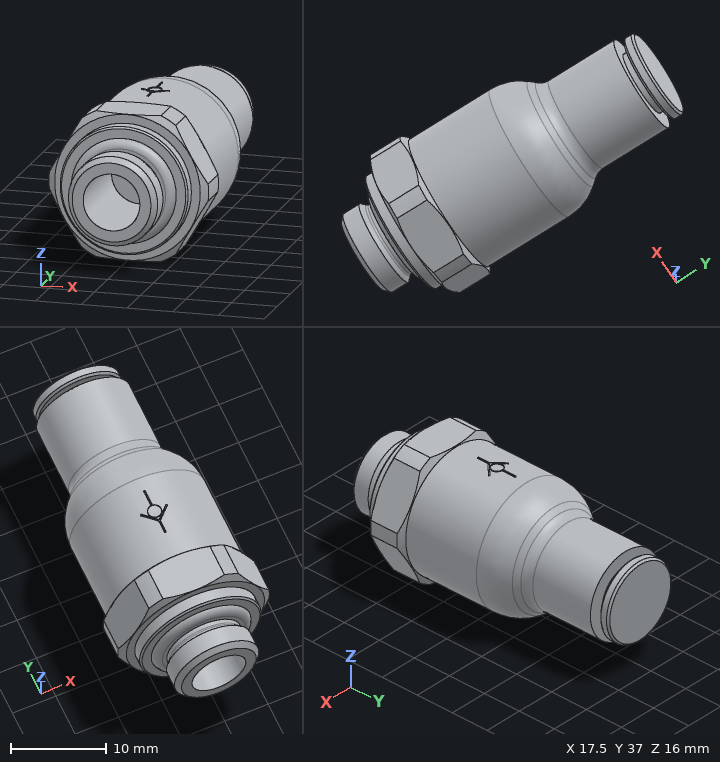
import cadquery as cq
import math

overall_length = 37.01

spigot_radius = 4.88
spigot_chamfer = 0.57
spigot_shoulder_y = 2.6
bore_radius = 3.1
neck_radius = 4.28
neck_fillet_radius = 0.35

seal_radius = 5.75
seal_face_radius = 4.8
seal_thickness = 0.75

collar_radius = 7.0
collar_start_y = 4.6
collar_chamfer = 0.2

hex_across_flats = 16.0
hex_corner_radius = 8.75
hex_start_y = 6.05
hex_end_y = 10.75
hex_bevel_angle = math.radians(30)
hex_face_radius = 7.97

body_radius = 7.9
dome_start_y = 20.82
dome_radius = 6.0
throat_radius = 2.0
shoulder_angle = math.radians(40)
sleeve_radius = 5.45
sleeve_end_y = 34.87

collet_neck_radius = 3.65
collet_radius = 5.0
collet_flange_length = 1.3
collet_chamfer = 0.25

symbol_y = 16.55
symbol_depth = 0.1
symbol_ball_radius = 0.75
symbol_stroke_width = 0.15
symbol_upper_reach = 2.65
symbol_lower_reach = 2.75
seat_width = 3.0
seat_tip_offset = 1.25


def arc_middle(centre, radius, angle):
    """Point on a circle at the given angle."""
    return (centre[0] + radius * math.cos(angle), centre[1] + radius * math.sin(angle))


def revolve_profile(profile):
    """Turn a closed (radius, station) outline about the Y axis."""
    return profile.close().revolve(360, (0, 0, 0), (0, 1, 0))


def make_spigot():
    """Chamfered spigot, its undercut neck, the seal and the collar."""
    cone_angle = math.radians(45)
    fillet_setback = neck_fillet_radius * math.sin(cone_angle)
    cone_end_radius = neck_radius + neck_fillet_radius * (1 - math.cos(cone_angle))
    cone_end_y = spigot_shoulder_y + spigot_radius - cone_end_radius
    neck_start_y = cone_end_y + fillet_setback
    fillet_centre = (neck_radius + neck_fillet_radius, neck_start_y)
    fillet_middle = arc_middle(fillet_centre, neck_fillet_radius, math.pi + cone_angle / 2)

    seal_start_y = collar_start_y - seal_thickness
    rim_width = seal_radius - seal_face_radius

    rim_arc_radius = (rim_width**2 + seal_thickness**2) / (2 * seal_thickness)
    rim_sweep = math.asin(rim_width / rim_arc_radius)
    rim_centre = (seal_face_radius, seal_start_y + rim_arc_radius)
    rim_middle = arc_middle(rim_centre, rim_arc_radius, rim_sweep / 2 - math.pi / 2)

    profile = (
        cq.Workplane("XY")
        .moveTo(0, 0)
        .lineTo(spigot_radius - spigot_chamfer, 0)
        .lineTo(spigot_radius, spigot_chamfer)
        .lineTo(spigot_radius, spigot_shoulder_y)
        .lineTo(cone_end_radius, cone_end_y)
        .threePointArc(fillet_middle, (neck_radius, neck_start_y))
        .lineTo(neck_radius, seal_start_y)
        .lineTo(seal_face_radius, seal_start_y)
        .threePointArc(rim_middle, (seal_radius, collar_start_y))
        .lineTo(collar_radius - collar_chamfer, collar_start_y)
        .lineTo(collar_radius, collar_start_y + collar_chamfer)
        .lineTo(collar_radius, hex_start_y)
        .lineTo(0, hex_start_y)
    )
    return revolve_profile(profile)


def make_hexagon():
    """Hexagon with flats at +Z and -Z, rounded corners and bevelled ends."""
    prism = (
        cq.Workplane("ZX", origin=(0, hex_start_y, 0))
        .polygon(6, hex_across_flats, circumscribed=True)
        .extrude(hex_end_y - hex_start_y)
    )
    front_bevel = (hex_corner_radius - hex_face_radius) * math.tan(hex_bevel_angle)
    back_bevel = (hex_corner_radius - body_radius) * math.tan(hex_bevel_angle)
    envelope = (
        cq.Workplane("XY")
        .moveTo(0, hex_start_y)
        .lineTo(hex_face_radius, hex_start_y)
        .lineTo(hex_corner_radius, hex_start_y + front_bevel)
        .lineTo(hex_corner_radius, hex_end_y - back_bevel)
        .lineTo(body_radius, hex_end_y)
        .lineTo(0, hex_end_y)
    )
    return prism.intersect(revolve_profile(envelope))


def make_body():
    """Cylinder, dome, conical shoulder, throat, sleeve and release collet."""
    dome_centre = (body_radius - dome_radius, dome_start_y)
    dome_middle = arc_middle(dome_centre, dome_radius, shoulder_angle / 2)
    dome_end = arc_middle(dome_centre, dome_radius, shoulder_angle)

    throat_centre_radius = sleeve_radius + throat_radius
    throat_start_radius = throat_centre_radius - throat_radius * math.cos(shoulder_angle)
    cone_length = (dome_end[0] - throat_start_radius) / math.tan(shoulder_angle)
    throat_start_y = dome_end[1] + cone_length
    throat_end_y = throat_start_y + throat_radius * math.sin(shoulder_angle)
    throat_centre = (throat_centre_radius, throat_end_y)
    throat_middle = arc_middle(throat_centre, throat_radius, math.pi + shoulder_angle / 2)

    flange_start_y = overall_length - collet_flange_length
    profile = (
        cq.Workplane("XY")
        .moveTo(0, hex_end_y)
        .lineTo(body_radius, hex_end_y)
        .lineTo(body_radius, dome_start_y)
        .threePointArc(dome_middle, dome_end)
        .lineTo(throat_start_radius, throat_start_y)
        .threePointArc(throat_middle, (sleeve_radius, throat_end_y))
        .lineTo(sleeve_radius, sleeve_end_y)
        .lineTo(collet_neck_radius, sleeve_end_y)
        .lineTo(collet_neck_radius, flange_start_y)
        .lineTo(collet_radius - collet_chamfer, flange_start_y)
        .lineTo(collet_radius, flange_start_y + collet_chamfer)
        .lineTo(collet_radius, overall_length - collet_chamfer)
        .lineTo(collet_radius - collet_chamfer, overall_length)
        .lineTo(0, overall_length)
    )
    return revolve_profile(profile)


def make_bore():
    """Blind bore from the spigot end as far as the back of the hexagon."""
    return cq.Workplane("XZ").circle(bore_radius).extrude(-hex_end_y)


def make_stroke(plane, start, end):
    """Straight bar between two points, tall enough to leave the body."""
    run = end[0] - start[0]
    rise = end[1] - start[1]
    return (
        plane.center((start[0] + end[0]) / 2, (start[1] + end[1]) / 2)
        .transformed(rotate=(0, 0, math.degrees(math.atan2(rise, run))))
        .rect(math.hypot(run, rise), symbol_stroke_width)
        .extrude(body_radius)
    )


def make_symbol_cutter():
    """Check valve sign: a ball over a V seat, with a stem on either side."""
    plane = cq.Workplane("XY", origin=(0, symbol_y, 0))
    upper_stem = make_stroke(plane, (0, symbol_ball_radius), (0, symbol_upper_reach))
    lower_stem = make_stroke(plane, (0, -seat_tip_offset), (0, -symbol_lower_reach))
    sign = plane.circle(symbol_ball_radius).extrude(body_radius).union(upper_stem).union(lower_stem)
    for side in (-1, 1):
        seat_end = (side * seat_width / 2, seat_width / 2 - seat_tip_offset)
        sign = sign.union(make_stroke(plane, (0, -seat_tip_offset), seat_end))
    core_radius = body_radius - symbol_depth
    core = (
        cq.Workplane("XZ", origin=(0, hex_end_y, 0))
        .circle(core_radius)
        .extrude(hex_end_y - dome_start_y)
    )
    return sign.cut(core)


result = make_spigot().union(make_hexagon()).union(make_body())
result = result.cut(make_bore()).cut(make_symbol_cutter())